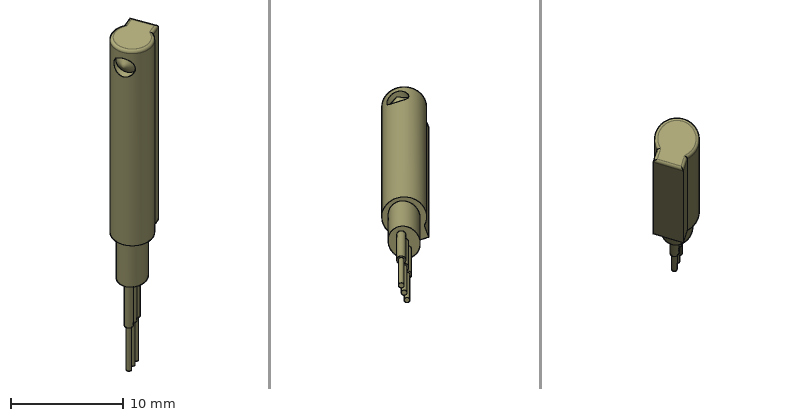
import cadquery as cq

total_height = 37.0
step_length = 5.0
body_length = total_height - 3 * step_length

body_radius = 2.0
rib_width = 2.8
rib_back = 2.63
top_fillet = 0.3

cable_width = 2.8
cable_depth = 3.25
wire_pitch = 0.78
insulation_diameter = 0.8
conductor_diameter = 0.5

window_radius = 1.05
window_drop = body_radius
cone_height = 0.75

conductor_top = step_length
cable_bottom = 2 * step_length
body_bottom = 3 * step_length


def make_body():
    """Barrel and rib with a rounded top edge."""
    base = cq.Workplane("XY").workplane(offset=body_bottom)
    barrel = base.circle(body_radius).extrude(body_length)
    rib = base.center(0, rib_back / 2).rect(rib_width, rib_back).extrude(body_length)
    return barrel.union(rib).faces(">Z").edges().fillet(top_fillet)


def cut_window(body):
    """Bore the window and leave the pointed cone standing on its floor."""
    wall = cq.Plane(
        origin=(0, -body_radius, total_height - window_drop),
        xDir=(1, 0, 0),
        normal=(0, 1, 0),
    )
    bore = cq.Workplane(wall).circle(window_radius).extrude(cone_height)
    cone = cq.Workplane(
        cq.Solid.makeCone(0, window_radius, cone_height, pnt=wall.origin, dir=wall.zDir)
    )
    return body.cut(bore.cut(cone))


def make_cable():
    return (
        cq.Workplane("XY")
        .workplane(offset=cable_bottom)
        .ellipse(cable_width / 2, cable_depth / 2)
        .extrude(step_length)
    )


def make_wire(y):
    """Conductor running to the cable end, sleeved along its upper half."""
    conductor = cq.Workplane("XY").center(0, y).circle(conductor_diameter / 2).extrude(cable_bottom)
    insulation = (
        cq.Workplane("XY")
        .workplane(offset=conductor_top)
        .center(0, y)
        .circle(insulation_diameter / 2)
        .extrude(step_length)
    )
    return conductor.union(insulation)


result = cut_window(make_body()).union(make_cable())
for row in (-1, 0, 1):
    result = result.union(make_wire(row * wire_pitch))